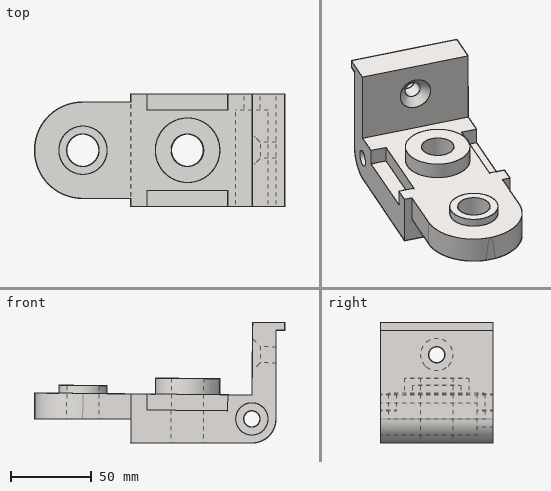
import cadquery as cq
import math

length = 155.4
width = 70.0
height = 75.0

draft_angle = 0.55
top_height = 31.2

overlap = 1.5

arm_radius = 30.0
arm_underside = 14.9
block_start = 60.0
wall_start = 134.9

hinge_radius = 15.0
back_face = 150.0
hinge_x = back_face - hinge_radius
hinge_hole_diameter = 10.0
hinge_bore_diameter = 20.0
hinge_bore_floor = 10.0

lip_thickness = 5.0

boss_bore_diameter = 20.0
end_boss_x = arm_radius
end_boss_radius = arm_radius / 2
end_boss_height = 5.0
main_boss_x = 95.0
main_boss_radius = 20.0
main_boss_height = 10.0

pocket_start = 70.0
pocket_length = 50.0
pocket_width = 10.0
pocket_depth = 10.0

wall_hole_height = 55.0
wall_hole_diameter = 10.0
countersink_diameter = 20.0
countersink_depth = (countersink_diameter - wall_hole_diameter) / 2


def lean(shape):
    """Place a shape drawn on the top plane onto the sloping top."""
    return shape.rotate((0, 0, 0), (0, 1, 0), draft_angle).translate((0, 0, top_height))


def box(x_start, x_size, y_size, z_start, z_size):
    """Box centred in Y."""
    return (
        cq.Workplane("XY", origin=(x_start, 0, z_start))
        .box(x_size, y_size, z_size, centered=(False, True, False))
    )


def cylinder(x, radius, z_start, z_size):
    return cq.Workplane("XY", origin=(x, 0, z_start)).circle(radius).extrude(z_size)


def make_envelope():
    """Upright side outline with the round hinge corner and the lip."""
    return (
        cq.Workplane("XZ")
        .lineTo(hinge_x, 0)
        .radiusArc((back_face, hinge_radius), -hinge_radius)
        .lineTo(back_face, height - lip_thickness)
        .lineTo(length, height - lip_thickness)
        .lineTo(length, height)
        .lineTo(0, height)
        .close()
        .extrude(width / 2, both=True)
    )


def make_arm():
    """Round-ended arm with a level underside."""
    straight = box(arm_radius, block_start - arm_radius + overlap, 2 * arm_radius, -height, height)
    arm = cylinder(arm_radius, arm_radius, -height, height).union(straight)
    above_underside = box(0, length, width, arm_underside, height)
    return lean(arm).intersect(above_underside)


def make_body():
    block = lean(box(block_start, length, width, -height, height))
    wall = lean(box(wall_start, length, width, -height, 2 * height))
    return make_arm().union(block).union(wall).intersect(make_envelope())


def add_boss(body, x, radius, boss_height):
    """Boss standing on the sloping top, bored through the part."""
    boss = cylinder(x, radius, -overlap, boss_height + overlap)
    bore = cylinder(x, boss_bore_diameter / 2, -height, 2 * height)
    return body.union(lean(boss)).cut(lean(bore))


def cut_pockets(body):
    pocket = box(pocket_start, pocket_length, 2 * pocket_width, -pocket_depth, height)
    for side in (-1, 1):
        body = body.cut(lean(pocket.translate((0, side * width / 2, 0))))
    return body


def cut_hinge_hole(body):
    """Large bore from the -Y side, with a small hole on through the +Y end."""
    start = cq.Workplane("XZ", origin=(hinge_x, -width / 2, hinge_radius))
    bore = start.circle(hinge_bore_diameter / 2).extrude(-(width - hinge_bore_floor))
    hole = start.circle(hinge_hole_diameter / 2).extrude(-width)
    return body.cut(bore).cut(hole)


def cut_wall_hole(body):
    """Hole along X, countersunk from the leaning wall face."""
    top_drop = wall_start * math.sin(math.radians(draft_angle))
    local_height = wall_hole_height - top_height + top_drop
    start = cq.Workplane("YZ", origin=(wall_start, 0, local_height))
    hole = start.circle(wall_hole_diameter / 2).extrude(length)
    cone = cq.Workplane(
        cq.Solid.makeCone(
            countersink_diameter / 2,
            wall_hole_diameter / 2,
            countersink_depth,
            cq.Vector(wall_start, 0, local_height),
            cq.Vector(1, 0, 0),
        )
    )
    return body.cut(lean(hole.union(cone)))


result = make_body()
result = add_boss(result, end_boss_x, end_boss_radius, end_boss_height)
result = add_boss(result, main_boss_x, main_boss_radius, main_boss_height)
result = cut_pockets(result)
result = cut_hinge_hole(result)
result = cut_wall_hole(result)